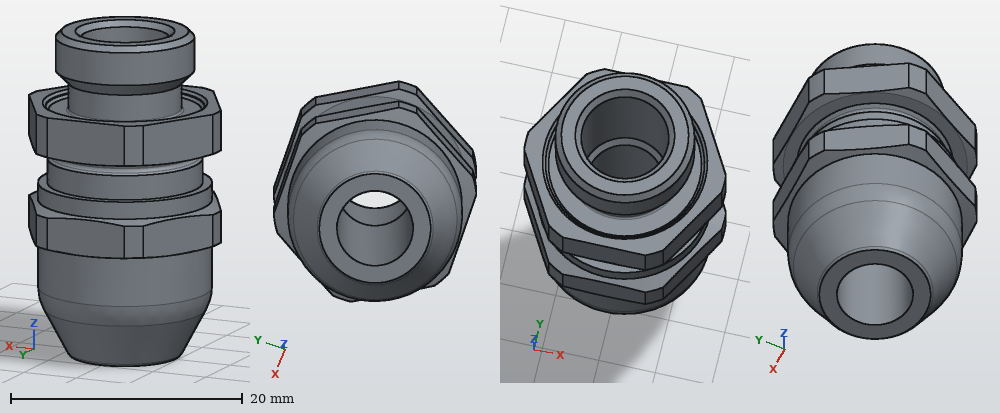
import cadquery as cq
import math

height = 28.6
tail_cone_top = 4.12
tail_body_low = 5.98
lower_hex_low = 10.2
lower_hex_high = 13.7
flange_top = 15.22
thread_top = 17.35
upper_hex_low = 18.5
upper_hex_high = 22.25
head_cone_low = 24.08
head_rim_low = 25.2

flange_radius = 7.52
thread_radius = 6.72
groove_radius = 6.23
neck_radius = 4.9
head_radius = 6.0
tail_radius = 4.8
tail_edge_round = 0.25

tail_cone_angle = math.radians(28)

groove_flank_angle = math.radians(30)
groove_round = 0.4
groove_floor_width = 0.05

across_flats = 16.0
across_corners = 17.6
hex_corner_radius = across_corners / 2
hex_chamfer_angle = math.radians(15)
upper_hex_seat_radius = 7.95

recess_rim_radius = 7.12
recess_edge = 0.25
recess_depth = 0.6
neck_foot_round = 0.17

edge_chamfer = 0.51
bore_radius = 3.78
through_radius = 3.3
bore_depth = 10.3
bore_cone_height = bore_radius - through_radius


def turned_body():
    """Revolved body, drawn as (radius, height) from the tail up to the head."""
    shoulder_radius = (tail_body_low - tail_cone_top) / math.sin(tail_cone_angle)
    cone_radius = flange_radius - shoulder_radius * (1 - math.cos(tail_cone_angle))
    half_angle = tail_cone_angle / 2
    shoulder_mid = (
        flange_radius - shoulder_radius * (1 - math.cos(half_angle)),
        tail_body_low - shoulder_radius * math.sin(half_angle),
    )
    tail_edge_radius = cone_radius - (tail_cone_top - tail_edge_round) * math.tan(tail_cone_angle)

    groove_mid = (thread_top + upper_hex_low) / 2
    half_floor = groove_floor_width / 2
    arc_rise = half_floor + groove_round * math.cos(groove_flank_angle)
    half_sweep = (math.pi / 2 - groove_flank_angle) / 2
    mid_radius = groove_radius + groove_round * (1 - math.cos(half_sweep))
    mid_rise = half_floor + groove_round * math.sin(half_sweep)
    arc_end_radius = groove_radius + groove_round * (1 - math.sin(groove_flank_angle))
    flank_rise = upper_hex_low - groove_mid - arc_rise
    groove_rim_radius = arc_end_radius + flank_rise / math.tan(groove_flank_angle)

    profile = (
        cq.Workplane("XZ")
        .moveTo(0, 0)
        .lineTo(tail_radius, 0)
        .lineTo(tail_edge_radius, tail_edge_round)
        .lineTo(cone_radius, tail_cone_top)
        .threePointArc(shoulder_mid, (flange_radius, tail_body_low))
        .lineTo(flange_radius, flange_top)
        .lineTo(thread_radius, flange_top)
        .lineTo(thread_radius, thread_top)
        .lineTo(arc_end_radius, groove_mid - arc_rise)
        .threePointArc((mid_radius, groove_mid - mid_rise), (groove_radius, groove_mid - half_floor))
        .lineTo(groove_radius, groove_mid + half_floor)
        .threePointArc((mid_radius, groove_mid + mid_rise), (arc_end_radius, groove_mid + arc_rise))
        .lineTo(groove_rim_radius, upper_hex_low)
        .lineTo(neck_radius, upper_hex_low)
        .lineTo(neck_radius, head_cone_low)
        .lineTo(head_radius, head_rim_low)
        .lineTo(head_radius, height - edge_chamfer)
        .lineTo(head_radius - edge_chamfer, height)
        .lineTo(0, height)
        .close()
    )
    return profile.revolve(360, (0, 0, 0), (0, 1, 0))


def hexagon(low, high, seat_low, seat_high):
    """Hexagon with turned corners; an end slopes from the corners in to its flat seat radius."""
    sharp_diameter = across_flats / math.cos(math.radians(30))
    blank = cq.Workplane("XY").workplane(offset=low).polygon(6, sharp_diameter).extrude(high - low)
    slope = math.tan(hex_chamfer_angle)
    envelope = (
        cq.Workplane("XZ")
        .moveTo(0, low)
        .lineTo(seat_low, low)
        .lineTo(hex_corner_radius, low + (hex_corner_radius - seat_low) * slope)
        .lineTo(hex_corner_radius, high - (hex_corner_radius - seat_high) * slope)
    )
    if seat_high < hex_corner_radius:
        envelope = envelope.lineTo(seat_high, high)
    envelope = envelope.lineTo(0, high).close().revolve(360, (0, 0, 0), (0, 1, 0))
    return blank.intersect(envelope)


def hex_recess():
    """Ring-shaped recess around the neck, with sloped outer edges and a rounded neck foot."""
    floor = upper_hex_high - recess_depth
    wall_radius = recess_rim_radius - recess_edge
    profile = (
        cq.Workplane("XZ")
        .moveTo(neck_radius, upper_hex_high)
        .lineTo(recess_rim_radius, upper_hex_high)
        .lineTo(wall_radius, upper_hex_high - recess_edge)
        .lineTo(wall_radius, floor + recess_edge)
        .lineTo(wall_radius - recess_edge, floor)
        .lineTo(neck_radius + neck_foot_round, floor)
        .radiusArc((neck_radius, floor + neck_foot_round), neck_foot_round)
        .close()
    )
    return profile.revolve(360, (0, 0, 0), (0, 1, 0))


def bore():
    """Through bore, wider at the head, with a chamfered mouth and a conical step."""
    step_top = height - bore_depth
    profile = (
        cq.Workplane("XZ")
        .moveTo(0, 0)
        .lineTo(through_radius, 0)
        .lineTo(through_radius, step_top - bore_cone_height)
        .lineTo(bore_radius, step_top)
        .lineTo(bore_radius, height - edge_chamfer)
        .lineTo(bore_radius + edge_chamfer, height)
        .lineTo(0, height)
        .close()
    )
    return profile.revolve(360, (0, 0, 0), (0, 1, 0))


lower_hex = hexagon(lower_hex_low, lower_hex_high, flange_radius, flange_radius)
upper_hex = hexagon(upper_hex_low, upper_hex_high, upper_hex_seat_radius, hex_corner_radius)
result = turned_body().union(lower_hex).union(upper_hex).cut(hex_recess()).cut(bore())